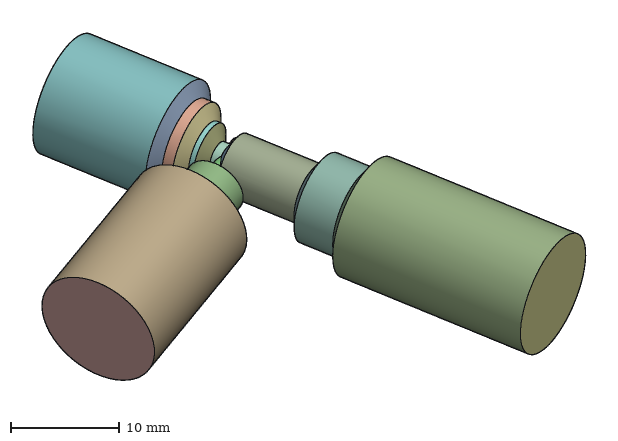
import cadquery as cq
import math

FULL_DIAMETER = 12.0
WIDE_DIAMETER = 9.0
MIDDLE_DIAMETER = 6.0
NARROW_DIAMETER = 3.0

TOTAL_LENGTH = 52.0
LEFT_END = 18.0
RIGHT_END = TOTAL_LENGTH - LEFT_END
TOTAL_DEPTH = 31.0
FRONT_END = TOTAL_DEPTH - FULL_DIAMETER / 2

LEFT_NARROW_START = 0.0
LEFT_MIDDLE_START = 2.6
LEFT_WIDE_START = 4.0
LEFT_FULL_START = 6.0
RIGHT_MIDDLE_START = 0.0
RIGHT_WIDE_START = 9.0
RIGHT_FULL_START = 14.0
FRONT_NARROW_START = -2.0
FRONT_MIDDLE_START = 3.5
FRONT_FULL_START = 8.0

CONE_RISE = math.tan(math.radians(30))

UP = cq.Vector(0, 0, 1)
ORIGIN = cq.Vector(0, 0, 0)


def stepped_arm(direction, steps, end):
    """Revolve a pointed arm that widens through conical steps up to its flat end.

    Each step is (start, diameter): the distance along the arm at which
    its cylinder begins. A cone leads up to it from the previous diameter,
    and the first cone begins as a point on the axis.
    """
    outline = []
    radius = 0
    for start, diameter in steps:
        next_radius = diameter / 2
        cone_length = (next_radius - radius) * CONE_RISE
        outline.append((radius, start - cone_length))
        outline.append((next_radius, start))
        radius = next_radius
    outline.append((radius, end))
    outline.append((0, end))

    plane = cq.Plane(origin=ORIGIN, xDir=UP, normal=UP.cross(direction))
    return cq.Workplane(plane).polyline(outline).close().revolve(360, (0, 0), (0, 1))


left_arm = stepped_arm(
    cq.Vector(-1, 0, 0),
    [
        (LEFT_NARROW_START, NARROW_DIAMETER),
        (LEFT_MIDDLE_START, MIDDLE_DIAMETER),
        (LEFT_WIDE_START, WIDE_DIAMETER),
        (LEFT_FULL_START, FULL_DIAMETER),
    ],
    LEFT_END,
)

right_arm = stepped_arm(
    cq.Vector(1, 0, 0),
    [
        (RIGHT_MIDDLE_START, MIDDLE_DIAMETER),
        (RIGHT_WIDE_START, WIDE_DIAMETER),
        (RIGHT_FULL_START, FULL_DIAMETER),
    ],
    RIGHT_END,
)

front_arm = stepped_arm(
    cq.Vector(0, -1, 0),
    [
        (FRONT_NARROW_START, NARROW_DIAMETER),
        (FRONT_MIDDLE_START, MIDDLE_DIAMETER),
        (FRONT_FULL_START, FULL_DIAMETER),
    ],
    FRONT_END,
)

result = left_arm.union(right_arm).union(front_arm)